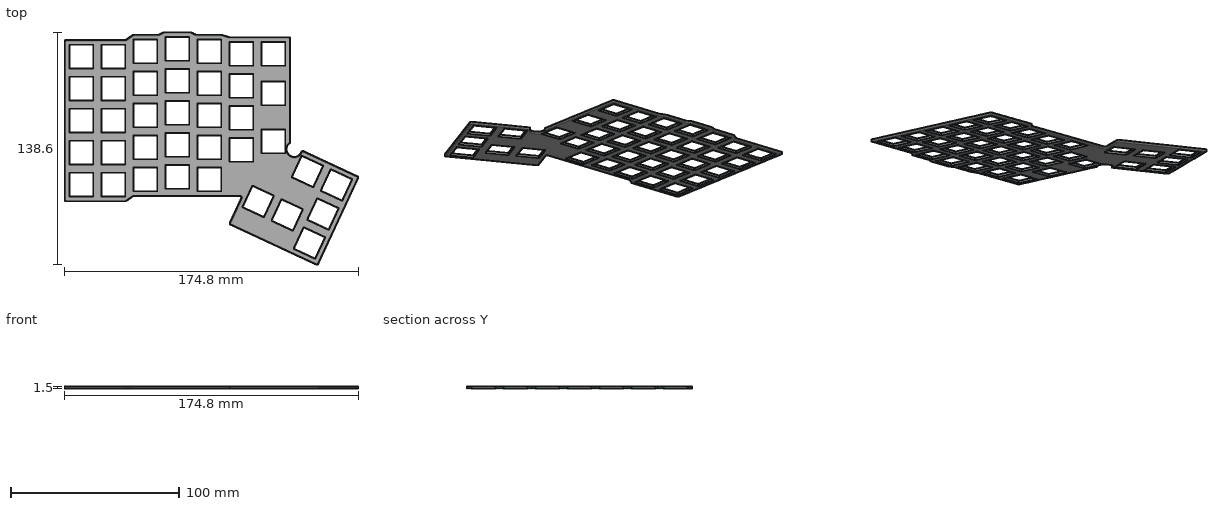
import cadquery as cq
import math

THICKNESS = 1.5
EDGE_RADIUS = 0.5
CORNER_RADIUS = 0.9

PITCH = 19.0
KEY_SIZE = 14.0
MARGIN = 10.0

OUTER_TOP_Y = 123.8
RING_TOP_Y = 127.0
MIDDLE_TOP_Y = 128.5
INNER_TOP_Y = 125.5
LONG_COLUMN_KEYS = 5
SHORT_COLUMN_KEYS = 4
EVEN_COLUMNS = [
    (OUTER_TOP_Y, LONG_COLUMN_KEYS),
    (OUTER_TOP_Y, LONG_COLUMN_KEYS),
    (RING_TOP_Y, LONG_COLUMN_KEYS),
    (MIDDLE_TOP_Y, LONG_COLUMN_KEYS),
    (RING_TOP_Y, LONG_COLUMN_KEYS),
    (INNER_TOP_Y, SHORT_COLUMN_KEYS),
]
FIRST_COLUMN_X = MARGIN

LAST_COLUMN = len(EVEN_COLUMNS)
LAST_COLUMN_DROPS = [0, 23.6, 52.1]

WIDE_STEP = 2.3
NARROW_STEP = 1.5

THUMB_X = 132.5
THUMB_Y = 29.5
THUMB_ANGLE = -25
THUMB_KEYS = [(-1, 0), (0, 0), (1, -0.5), (1, 0.5), (0, 1.5), (1, 1.5)]

RELIEF_X = 136.8
RELIEF_Y = 68.7
RELIEF_RADIUS = 4.5


def column_x(column):
    return FIRST_COLUMN_X + column * PITCH


def thumb_point(along, across):
    """Plate position of a point given in pitches along the turned thumb grid."""
    angle = math.radians(THUMB_ANGLE)
    x = THUMB_X + PITCH * (along * math.cos(angle) - across * math.sin(angle))
    y = THUMB_Y + PITCH * (along * math.sin(angle) + across * math.cos(angle))
    return x, y


def step(left_column, left_y, right_y, half_width):
    """Ends of the slope that joins the outline of one column to the next one."""
    middle_x = column_x(left_column) + PITCH / 2
    return [(middle_x - half_width, left_y), (middle_x + half_width, right_y)]


def key_field_outline():
    left = column_x(0) - MARGIN
    right = column_x(LAST_COLUMN) + MARGIN
    outer_top = OUTER_TOP_Y + MARGIN
    ring_top = RING_TOP_Y + MARGIN
    middle_top = MIDDLE_TOP_Y + MARGIN
    inner_top = INNER_TOP_Y + MARGIN
    top_key_to_bottom_edge = (LONG_COLUMN_KEYS - 1) * PITCH + MARGIN
    outer_bottom = OUTER_TOP_Y - top_key_to_bottom_edge
    ring_bottom = RING_TOP_Y - top_key_to_bottom_edge
    return [
        (left, outer_bottom),
        (left, outer_top),
        *step(1, outer_top, ring_top, WIDE_STEP),
        *step(2, ring_top, middle_top, NARROW_STEP),
        *step(3, middle_top, ring_top, NARROW_STEP),
        *step(4, ring_top, inner_top, WIDE_STEP),
        (right, inner_top),
        (right, ring_bottom),
        *reversed(step(1, outer_bottom, ring_bottom, WIDE_STEP)),
    ]


def key_field_slab():
    return cq.Workplane("XY").polyline(key_field_outline()).close().extrude(THICKNESS)


def thumb_slab():
    """Turned square slab, three keys wide and three keys deep."""
    return (
        cq.Workplane("XY")
        .transformed(offset=thumb_point(0, 0.5), rotate=(0, 0, THUMB_ANGLE))
        .rect(2 * (PITCH + MARGIN), 2 * (PITCH + MARGIN))
        .extrude(THICKNESS)
    )


def plate_blank():
    relief = cq.Workplane("XY").center(RELIEF_X, RELIEF_Y).circle(RELIEF_RADIUS).extrude(THICKNESS)
    blank = key_field_slab().union(thumb_slab()).cut(relief).clean()
    rounded = blank.edges("|Z").fillet(CORNER_RADIUS)
    return rounded.faces("|Z").edges().fillet(EDGE_RADIUS)


def key_field_centres():
    centres = []
    for column, (top_y, key_count) in enumerate(EVEN_COLUMNS):
        for row in range(key_count):
            centres.append((column_x(column), top_y - row * PITCH))
    for drop in LAST_COLUMN_DROPS:
        centres.append((column_x(LAST_COLUMN), INNER_TOP_Y - drop))
    return centres


def thumb_centres():
    return [thumb_point(along, across) for along, across in THUMB_KEYS]


def key_openings(centres, angle):
    """Square cutters through the plate, each turned by the angle about its own centre."""
    cutter = cq.Workplane("XY").rect(KEY_SIZE, KEY_SIZE).extrude(THICKNESS)
    turned = cutter.rotate((0, 0, 0), (0, 0, 1), angle)
    return cq.Workplane("XY").pushPoints(centres).eachpoint(turned.val())


result = (
    plate_blank()
    .cut(key_openings(key_field_centres(), 0).combine())
    .cut(key_openings(thumb_centres(), THUMB_ANGLE).combine())
)